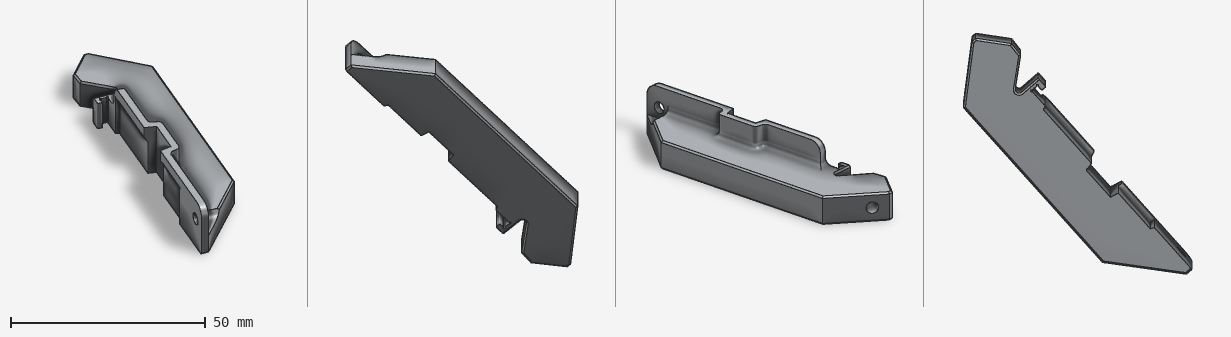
import cadquery as cq
import math

length = 81.9
back_y = 16.1
tail_y = -4.3
slab_height = 8.0
total_height = 14.7

wall_thickness = 2.0
wall_left = 23.9
wall_corner_radius = 3.3
base_fillet = 2.0
edge_chamfer = 0.5

notch_left = 43.8
notch_right = 54.65
notch_depth = 3.2
notch_draft = 0.7
jog_outer_radius = 1.2
jog_inner_radius = 1.4

back_left = 11.5
back_right = 65.4
nose_upper_y = 2.95
nose_lower_y = 1.7
tail_left = 7.1
tail_right = 11.0
tail_right_y = -4.0
gap_apex_y = 4.9
gap_radius = 1.0

hook_left = 18.35
hook_right = 21.4
hook_bottom = -3.45
hook_toe_top = -2.05
hook_inner_x = 19.75
hook_toe_radius = 0.3
hook_corner_relief = 0.25

recess_left = 25.0
recess_right = 67.35
recess_depth = 1.0
recess_side_draft = 0.5
recess_top = 11.8
recess_blend_height = 2.2

hole_diameter = 3.2
screw_x = 77.85
screw_z = 8.8
screw_relief_radius = 3.0
nose_hole_y = 6.3
nose_hole_depth = 8.2


def make_slab():
    """Slab with its hook; its exposed rim is chamfered on top and bottom."""
    slab = (
        cq.Workplane("XY")
        .moveTo(0, nose_upper_y)
        .lineTo(0, nose_lower_y)
        .lineTo(tail_left, tail_y)
        .lineTo(tail_right, tail_right_y)
        .lineTo(hook_left, gap_apex_y)
        .lineTo(hook_left, hook_bottom)
        .lineTo(hook_right, hook_bottom)
        .lineTo(hook_right, hook_toe_top)
        .lineTo(hook_inner_x, hook_toe_top)
        .lineTo(hook_inner_x, 0)
        .lineTo(length, 0)
        .lineTo(length, wall_thickness)
        .lineTo(back_right, back_y)
        .lineTo(back_left, back_y)
        .close()
        .extrude(slab_height)
    )
    gap_edge = cq.NearestToPointSelector((hook_left, gap_apex_y, slab_height / 2))
    slab = slab.edges(gap_edge).fillet(gap_radius)
    for toe_y in (hook_bottom, hook_toe_top):
        toe_edge = cq.NearestToPointSelector((hook_right, toe_y, slab_height / 2))
        slab = slab.edges(toe_edge).fillet(hook_toe_radius)

    def is_rim(edge):
        middle = edge.Center()
        return middle.x < hook_left + edge_chamfer / 2 or middle.y > edge_chamfer

    rim_edges = [edge for edge in slab.faces("<Z or >Z").edges().vals() if is_rim(edge)]
    return slab.newObject(rim_edges).chamfer(edge_chamfer)


def make_wall():
    """Upright wall that follows the notch at constant thickness."""
    slope_angle = math.atan2(notch_depth, notch_draft)
    jog_shift = wall_thickness * math.tan(slope_angle / 2)
    jog_y = notch_depth + wall_thickness
    jog_corners = [
        (notch_left - jog_shift, wall_thickness),
        (notch_left + notch_draft - jog_shift, jog_y),
        (notch_right - notch_draft + jog_shift, jog_y),
        (notch_right + jog_shift, wall_thickness),
    ]
    bottom = slab_height / 2
    wall = (
        cq.Workplane("XY", origin=(0, 0, bottom))
        .polyline(
            [(wall_left, 0), (wall_left, wall_thickness)]
            + jog_corners
            + [(length, wall_thickness), (length, 0)]
        )
        .close()
        .extrude(total_height - bottom)
    )
    for x, y in jog_corners:
        corner = cq.NearestToPointSelector((x, y, (bottom + total_height) / 2))
        radius = jog_outer_radius if y == jog_y else jog_inner_radius
        wall = wall.edges(corner).fillet(radius)
    return wall.edges("|Y and >Z").edges("<X or >X").fillet(wall_corner_radius)


def blend_wall_base(body):
    """Concave fillet where the wall's left end and back rise from the slab."""
    margin = 0.1
    foot = cq.selectors.BoxSelector(
        (wall_left - margin, -margin, slab_height - margin),
        (length - margin, notch_depth + wall_thickness + margin, slab_height + margin),
    )
    return body.edges(foot).fillet(base_fillet)


def make_notch():
    """Full-height trapezoidal notch in the front face."""
    return (
        cq.Workplane("XY")
        .polyline(
            [
                (notch_left, 0),
                (notch_left + notch_draft, notch_depth),
                (notch_right - notch_draft, notch_depth),
                (notch_right, 0),
            ]
        )
        .close()
        .extrude(total_height)
    )


def make_recess():
    """Drafted recess whose top runs out to the front face in an S-curve."""
    upward = (0, 1)
    blend_bottom = recess_top - recess_blend_height
    profile = (
        cq.Workplane("YZ", origin=(recess_left, 0, 0))
        .moveTo(0, 0)
        .lineTo(recess_depth, 0)
        .lineTo(recess_depth, blend_bottom)
        .spline([(0, recess_top)], tangents=[upward, upward], includeCurrent=True)
        .close()
        .extrude(recess_right - recess_left)
    )
    drafted_plan = (
        cq.Workplane("XY")
        .polyline(
            [
                (recess_left, 0),
                (recess_left + recess_side_draft, recess_depth),
                (recess_right - recess_side_draft, recess_depth),
                (recess_right, 0),
            ]
        )
        .close()
        .extrude(recess_top)
    )
    return profile.intersect(drafted_plan)


def make_screw_hole():
    """Through hole near the right end of the wall."""
    return (
        cq.Workplane("XZ", origin=(screw_x, 0, screw_z))
        .circle(hole_diameter / 2)
        .extrude(-wall_thickness)
    )


def make_screw_relief():
    """Clearance behind the screw hole: quarter-round start, then a flat floor."""
    floor_z = screw_z - screw_relief_radius
    return (
        cq.Workplane("XZ", origin=(0, wall_thickness, 0))
        .moveTo(screw_x - screw_relief_radius, total_height)
        .lineTo(screw_x - screw_relief_radius, screw_z)
        .radiusArc((screw_x, floor_z), -screw_relief_radius)
        .lineTo(length, floor_z)
        .lineTo(length, total_height)
        .close()
        .extrude(-back_y)
    )


def make_nose_hole():
    """Blind hole square to the slanted left face, at half the slab height."""
    rise = back_y - nose_upper_y
    entry_x = back_left * (nose_hole_y - nose_upper_y) / rise
    face_plane = cq.Plane(
        origin=(entry_x, nose_hole_y, slab_height / 2),
        xDir=(0, 0, 1),
        normal=(rise, -back_left, 0),
    )
    return cq.Workplane(face_plane).circle(hole_diameter / 2).extrude(nose_hole_depth)


def make_hook_reliefs():
    """Small round reliefs in the two inner corners of the hook."""
    return (
        cq.Workplane("XY")
        .pushPoints([(hook_inner_x, 0), (hook_inner_x, hook_toe_top)])
        .circle(hook_corner_relief)
        .extrude(slab_height)
    )


result = blend_wall_base(make_slab().union(make_wall()))
for cutter in (
    make_notch(),
    make_recess(),
    make_screw_hole(),
    make_screw_relief(),
    make_nose_hole(),
    make_hook_reliefs(),
):
    result = result.cut(cutter)